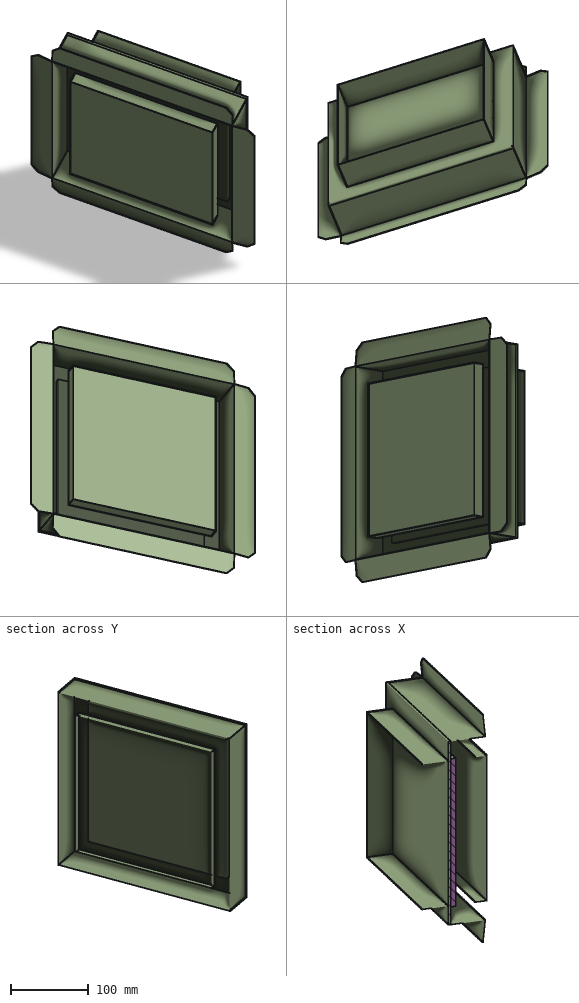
import cadquery as cq
import math


overall = 313.0
overall_depth = 89.0
sheet = 1.0

tray_width = 253.0
tray_depth = 51.5
floor_thickness = 4.0
floor_rounding = 2.2

flange_tilt = 6.0
flange_chamfer = 9.7
bend_radius = 1.3

panel_width = 200.3
panel_depth = 16.0
panel_proud = 2.0

duct_width = panel_width

cover_overlap = 2.0
cover_thickness = 7.0
cover_rounding = 1.0

half_tray = tray_width / 2
half_cavity = half_tray - sheet
floor_front = tray_depth - floor_thickness
panel_front = -panel_proud
panel_rear = panel_front + panel_depth
duct_rear = panel_front + overall_depth
cover_width = duct_width + 2 * cover_overlap


def square_block(width, front, rear):
    """Square block centred on the Y axis, from Y = front to Y = rear."""
    depth = rear - front
    return cq.Workplane("XY").box(width, depth, width).translate((0, front + depth / 2, 0))


def tray_side():
    """The +X side of the tray: a wall and its flange, bent from one strip of sheet."""
    tip = overall / 2
    tilt = math.radians(flange_tilt)
    slope = math.tan(tilt)
    sheet_along_y = sheet / math.cos(tilt)
    tip_front = (tip - half_cavity) * slope
    flange_root = sheet * slope + sheet_along_y
    strip = (
        cq.Workplane("XY")
        .polyline([
            (half_cavity, floor_front),
            (half_cavity, 0),
            (tip, tip_front),
            (tip, tip_front + sheet_along_y),
            (half_tray, flange_root),
            (half_tray, floor_front),
        ])
        .close()
        .extrude(half_tray, both=True)
        .edges(cq.NearestToPointSelector((half_cavity, 0, 0)))
        .fillet(bend_radius)
    )
    chamfered_outline = (
        cq.Workplane("XZ")
        .rect(overall, tray_width)
        .extrude(tray_depth, both=True)
        .edges("|Y")
        .chamfer(flange_chamfer)
    )
    return strip.intersect(chamfered_outline)


def make_tray():
    tray = square_block(tray_width, floor_front, tray_depth).faces(">Y").edges().fillet(floor_rounding)
    side = tray_side()
    for quarter_turn in range(4):
        tray = tray.union(side.rotate((0, 0, 0), (0, 1, 0), 90 * quarter_turn))
    return tray


def make_cover():
    """Block on the tray floor with rounded front edges."""
    cover = square_block(cover_width, floor_front - cover_thickness, floor_front)
    return cover.faces("<Y").edges().fillet(cover_rounding)


def make_panel():
    """Shallow sheet pan with a closed front and an open back."""
    pan = square_block(panel_width, panel_front, panel_rear)
    return pan.cut(square_block(panel_width - 2 * sheet, panel_front + sheet, panel_rear))


def make_duct():
    """Square sheet duct behind the tray, open at the rear."""
    duct = square_block(duct_width, tray_depth, duct_rear)
    return duct.cut(square_block(duct_width - 2 * sheet, tray_depth, duct_rear))


tray = make_tray()
cover = make_cover()
panel = make_panel()
duct = make_duct()

result = cq.Compound.makeCompound([tray.val(), cover.val(), panel.val(), duct.val()])